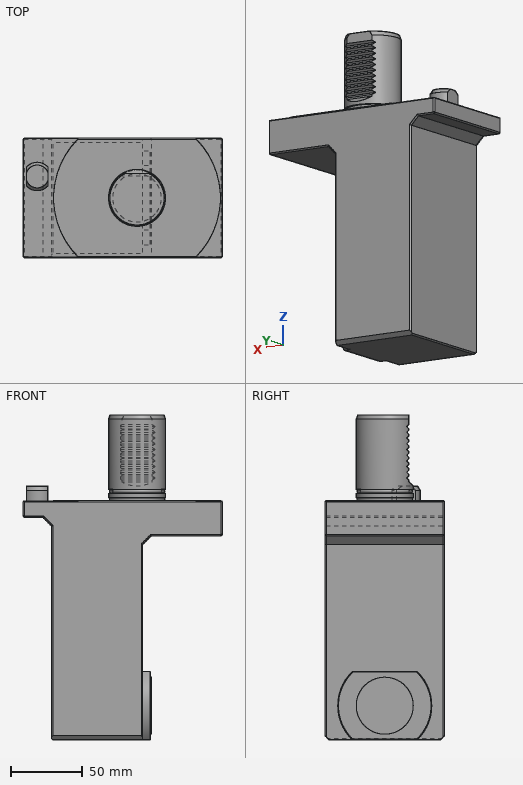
import cadquery as cq


half_width = 42.0
flange_left = -80.0
flange_right = 60.0
flange_top = -0.5
flange_left_bottom = -12.0
flange_right_bottom = -25.0
block_left = -60.0
block_right = 4.0
block_bottom = -168.0
gusset = 6.0
edge_chamfer = 1.0
bottom_chamfer = 3.0

seat_diameter = 117.0

cover_diameter = 66.0
cover_height = 48.0
cover_thickness = 5.5
cover_chamfer = 0.5
cover_z = block_bottom + cover_height / 2
cover_centre_diameter = 40.0
cover_centre_height = 0.5

shank_diameter = 40.0
shank_length = 60.0
shank_chamfer_radial = 1.0
shank_chamfer_height = 3.0
relief_diameter = 39.0
relief_height = 2.0
relief_chamfer = (shank_diameter - relief_diameter) / 2

ring_section = 2.5
ring_mean_diameter = 36.5
ring_z = 6.3
groove_width = 2.8
groove_diameter = ring_mean_diameter - ring_section

flat_y = 17.0
flat_bottom = 13.0
tooth_pitch = 4.0
tooth_depth = 1.5
notch_half_width = tooth_depth
notch_count = 10
lowest_notch_z = 15.7

pin_x = -70.0
pin_y = 15.0
pin_diameter = 20.0
pin_width = 15.0
pin_top = 10.0
pin_chamfer_radial = 2.0
pin_chamfer_height = 3.0


def make_flanged_block():
    """T-shaped profile across the full width with the round seat on top and all outer edges broken."""
    outline = [
        (flange_left, flange_top),
        (flange_right, flange_top),
        (flange_right, flange_right_bottom),
        (block_right + gusset, flange_right_bottom),
        (block_right, flange_right_bottom - gusset),
        (block_right, block_bottom),
        (block_left, block_bottom),
        (block_left, flange_left_bottom - gusset),
        (block_left - gusset, flange_left_bottom),
        (flange_left, flange_left_bottom),
    ]
    block = cq.Workplane("XZ").polyline(outline).close().extrude(half_width, both=True)
    block = block.faces("<Z").edges("|X").chamfer(bottom_chamfer)
    block = block.faces("<X").edges("<Z").chamfer(edge_chamfer)
    block = block.faces(">X").edges("<Z").chamfer(edge_chamfer)
    block = block.faces("<Z").edges("<X").chamfer(edge_chamfer)
    block = block.faces("<Y or >Y").edges("not(>Z or <Z)").chamfer(edge_chamfer)
    seat = cq.Workplane("XY", origin=(0, 0, flange_top)).circle(seat_diameter / 2).extrude(-flange_top)
    return block.union(seat).intersect(make_edge_envelope())


def make_edge_envelope():
    """Block around the whole flange whose chamfered ends and top break the flange and seat edges."""
    length = flange_right - flange_left
    height = -block_bottom
    envelope = cq.Workplane("XY").box(length, 2 * half_width, height)
    envelope = envelope.faces(">Z").edges().chamfer(edge_chamfer)
    return envelope.translate(((flange_left + flange_right) / 2, 0, block_bottom / 2))


def make_cover():
    trim = cq.Workplane("XY", origin=(block_right, 0, cover_z)).box(
        2 * cover_thickness, cover_diameter, cover_height
    )
    plate = (
        cq.Workplane("YZ", origin=(block_right, 0, cover_z))
        .circle(cover_diameter / 2)
        .extrude(cover_thickness)
        .intersect(trim)
        .faces(">X")
        .edges()
        .chamfer(cover_chamfer)
    )
    centre = (
        cq.Workplane("YZ", origin=(block_right, 0, cover_z))
        .circle(cover_centre_diameter / 2)
        .extrude(cover_thickness + cover_centre_height)
    )
    return plate.union(centre)


def make_shank():
    """Turned shank with a relief at its foot and the ring groove, before the flat is cut."""
    radius = shank_diameter / 2
    groove_low = ring_z - groove_width / 2
    groove_high = ring_z + groove_width / 2
    profile = [
        (0, flange_top),
        (relief_diameter / 2, flange_top),
        (relief_diameter / 2, relief_height - relief_chamfer),
        (radius, relief_height),
        (radius, groove_low),
        (groove_diameter / 2, groove_low),
        (groove_diameter / 2, groove_high),
        (radius, groove_high),
        (radius, shank_length - shank_chamfer_height),
        (radius - shank_chamfer_radial, shank_length),
        (0, shank_length),
    ]
    return cq.Workplane("XZ").polyline(profile).close().revolve(360, (0, 0), (0, 1))


def cut_toothed_flat(shank):
    radius = shank_diameter / 2
    run_out = radius - flat_y
    flat = (
        cq.Workplane("YZ")
        .polyline([
            (flat_y, shank_length),
            (flat_y, flat_bottom),
            (radius, flat_bottom - run_out),
            (radius, shank_length),
        ])
        .close()
        .extrude(radius, both=True)
    )
    shank = shank.cut(flat)
    for index in range(notch_count):
        notch_z = lowest_notch_z + index * tooth_pitch
        notch = (
            cq.Workplane("YZ")
            .polyline([
                (flat_y, notch_z - notch_half_width),
                (flat_y - tooth_depth, notch_z),
                (flat_y, notch_z + notch_half_width),
            ])
            .close()
            .extrude(radius, both=True)
        )
        shank = shank.cut(notch)
    return shank


def make_pin():
    pin_height = pin_top - flange_top
    pin = (
        cq.Workplane("XY", origin=(pin_x, pin_y, flange_top))
        .circle(pin_diameter / 2)
        .extrude(pin_height)
        .faces(">Z")
        .chamfer(pin_chamfer_height, pin_chamfer_radial)
    )
    envelope = cq.Workplane("XY", origin=(pin_x, pin_y, 0)).box(pin_width, pin_diameter, 2 * pin_top)
    return pin.intersect(envelope)


def make_o_ring():
    return (
        cq.Workplane("XZ", origin=(0, 0, ring_z))
        .center(ring_mean_diameter / 2, 0)
        .circle(ring_section / 2)
        .revolve(360, (-ring_mean_diameter / 2, 0), (-ring_mean_diameter / 2, 1))
    )


holder = make_flanged_block()
holder = holder.union(make_cover())
holder = holder.union(cut_toothed_flat(make_shank()))
holder = holder.union(make_pin())

o_ring = make_o_ring()

result = cq.Compound.makeCompound([holder.val(), o_ring.val()])